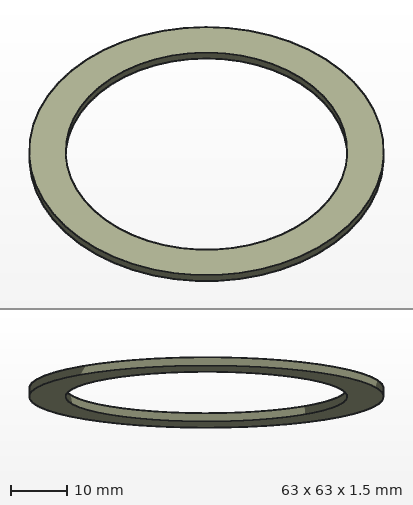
import cadquery as cq

outer_diameter = 63.0
inner_diameter = 50.0
thickness = 1.5

result = (
    cq.Workplane("XY")
    .circle(outer_diameter / 2)
    .circle(inner_diameter / 2)
    .extrude(thickness)
)